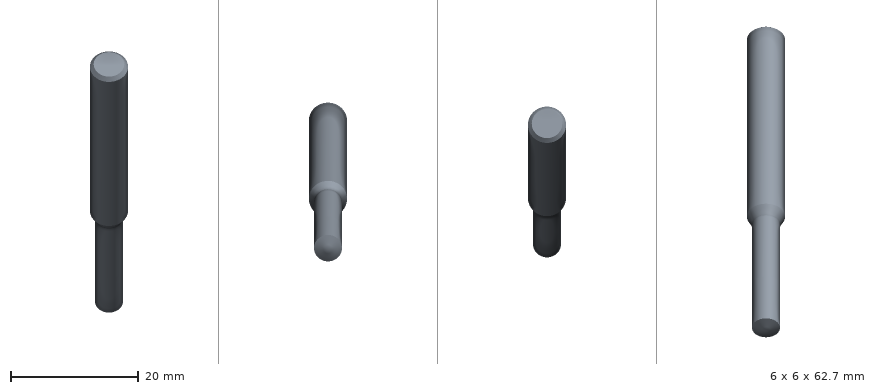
import cadquery as cq
import math

shank_diameter = 6.0
drill_diameter = 4.4
body_length = 62.0
shank_length = 40.0
cutting_length = 9.0
point_angle = 145.0
taper_half_angle = 25.0
end_chamfer = 0.6

shank_radius = shank_diameter / 2
drill_radius = drill_diameter / 2
point_height = drill_radius / math.tan(math.radians(point_angle / 2))
taper_height = (shank_radius - drill_radius) / math.tan(math.radians(taper_half_angle))

point_top_z = point_height
joint_z = point_top_z + cutting_length
shank_end_z = point_top_z + body_length
taper_bottom_z = shank_end_z - shank_length
taper_top_z = taper_bottom_z + taper_height


def revolve_profile(points):
    """Turn a closed half profile of (radius, height) points around Z, starting on the -Y side."""
    section = [(-radius, height) for radius, height in points]
    return cq.Workplane("YZ").polyline(section).close().revolve(360, (0, 0), (0, 1))


def make_shank():
    """Shank with a chamfered end, tapering down to a neck of the drill diameter."""
    return revolve_profile([
        (0, joint_z),
        (drill_radius, joint_z),
        (drill_radius, taper_bottom_z),
        (shank_radius, taper_top_z),
        (shank_radius, shank_end_z - end_chamfer),
        (shank_radius - end_chamfer, shank_end_z),
        (0, shank_end_z),
    ])


def make_cutting_section():
    """Cylinder with a conical point that continues the neck downward from the joint face."""
    return revolve_profile([
        (0, 0),
        (drill_radius, point_top_z),
        (drill_radius, joint_z),
        (0, joint_z),
    ])


shank = make_shank()
cutting_section = make_cutting_section()

result = cq.Compound.makeCompound([shank.val(), cutting_section.val()])